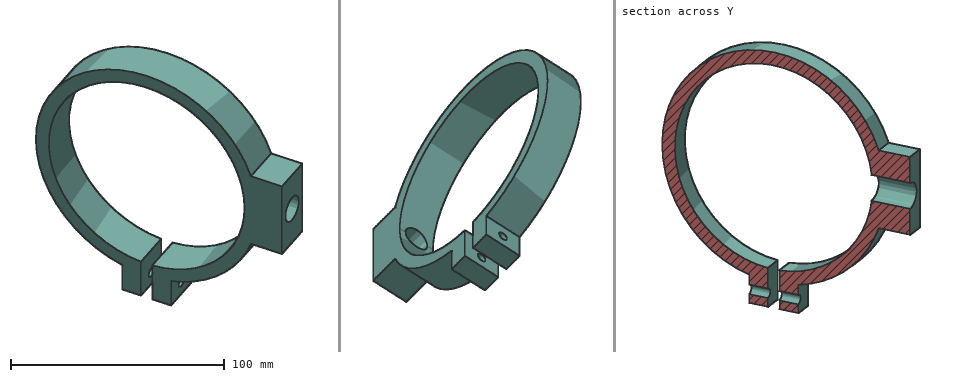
import cadquery as cq

width = 20.0
bore_radius = 52.0
ring_thickness = 7.0
outer_radius = bore_radius + ring_thickness
reach = 72.0

block_height = 40.0
block_hole_diameter = 13.0

gap = 6.0
lug_thickness = 10.0
lug_span = gap + 2 * lug_thickness
screw_hole_diameter = 4.6
screw_hole_to_lug_end = 7.0


def ring_blank():
    """Solid disc that the bore turns into the ring."""
    return cq.Workplane("XZ").circle(outer_radius).extrude(width / 2, both=True)


def mounting_block():
    """Block from the bore axis out to the +X face."""
    return cq.Workplane("XY").box(reach, width, block_height).translate((reach / 2, 0, 0))


def lug_block():
    """Both clamping lugs as one block, before the gap splits them."""
    return cq.Workplane("XY").box(lug_span, width, reach).translate((0, 0, -reach / 2))


def bore():
    """Round opening of the clamp, through the full width."""
    return cq.Workplane("XZ").circle(bore_radius).extrude(width / 2, both=True)


def clamp_gap():
    """Slot that opens the ring and separates the lugs."""
    return cq.Workplane("XY").box(gap, width, reach).translate((0, 0, -reach / 2))


def block_hole():
    """Radial hole from the bore through the mounting block."""
    return cq.Workplane("YZ").circle(block_hole_diameter / 2).extrude(reach)


def screw_hole():
    """Clamping screw hole through both lugs."""
    height = screw_hole_to_lug_end - reach
    hole = cq.Workplane("YZ").center(0, height).circle(screw_hole_diameter / 2)
    return hole.extrude(lug_span / 2, both=True)


result = ring_blank().union(mounting_block()).union(lug_block())
for cutter in (bore(), clamp_gap(), block_hole(), screw_hole()):
    result = result.cut(cutter)